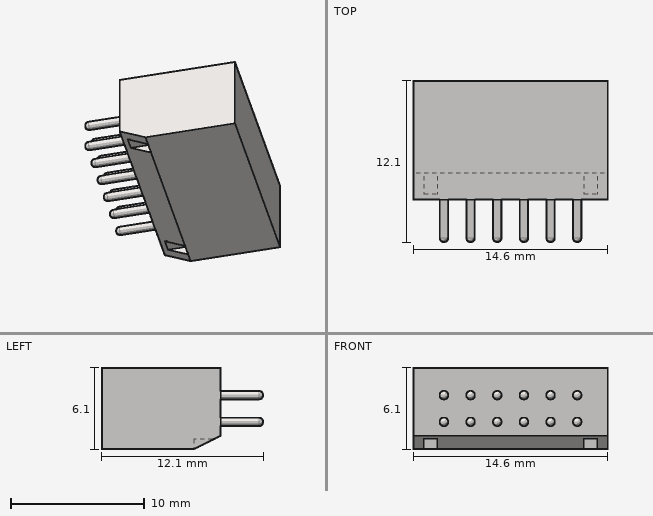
import cadquery as cq

housing_width = 14.6
housing_depth = 8.9
housing_height = 6.1

slope_depth = 2.0
slope_height = 1.0

notch_width = 1.0
notch_height = 0.78
notch_spacing = 12.0

pin_columns = 6
pin_rows = 2
pin_pitch = 2.0
pin_diameter = 0.65
pin_length = 3.2
pin_radius = pin_diameter / 2


def make_housing():
    """Block with a sloped lower front edge, extruded along X."""
    return (
        cq.Workplane("YZ")
        .moveTo(slope_depth, 0)
        .lineTo(housing_depth, 0)
        .lineTo(housing_depth, housing_height)
        .lineTo(0, housing_height)
        .lineTo(0, slope_height)
        .close()
        .extrude(housing_width / 2, both=True)
    )


def make_notch(x):
    """Cutter for one square notch in the slope."""
    return (
        cq.Workplane("XY")
        .box(notch_width, slope_depth, notch_height, centered=(True, False, False))
        .translate((x, 0, 0))
    )


def make_pin(x, z):
    """Pin pointing along -Y with a hemispherical tip, rooted on the pin face."""
    shank_length = pin_length - pin_radius
    return (
        cq.Workplane("XY")
        .lineTo(pin_radius, 0)
        .lineTo(pin_radius, -shank_length)
        .radiusArc((0, -pin_length), pin_radius)
        .close()
        .revolve(360, (0, 0, 0), (0, 1, 0))
        .translate((x, 0, z))
    )


result = make_housing()

for side in (-1, 1):
    result = result.cut(make_notch(side * notch_spacing / 2))

for column in range(pin_columns):
    pin_x = (column - (pin_columns - 1) / 2) * pin_pitch
    for row in range(pin_rows):
        pin_z = housing_height / 2 + (row - (pin_rows - 1) / 2) * pin_pitch
        result = result.union(make_pin(pin_x, pin_z))